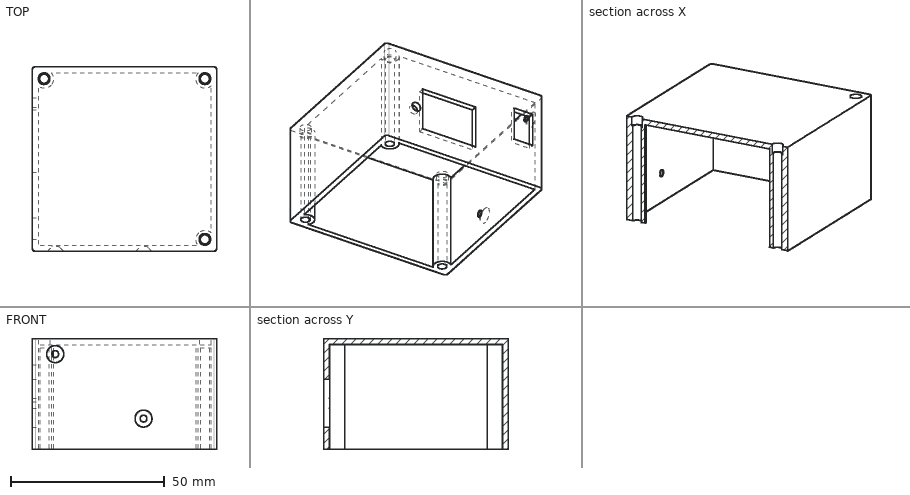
import cadquery as cq

side = 60.0
height = 36.0
wall = 2.0
corner_radius = 1.0

post_offset = 26.1
post_radius = 3.0
bore_diameter = 3.0
recess_diameter = 3.8
recess_depth = 3.0
post_corners = [(-1, 1), (1, 1), (1, -1)]

screw_diameter = 2.2
countersink_diameter = 5.5
countersink_angle = 90.0
screw_positions = [(-22.5, 30.95), (6.2, 10.0)]

window = (5.9, 15.0, 20.3, 15.5)
slot = (-22.5, 21.5, 6.95, 12.1)
indicator_diameter = 3.2
indicator_y = 18.35
indicator_z = 15.0


def make_shell():
    outer = cq.Workplane("XY").box(side, side, height, centered=(True, True, False))
    outer = outer.edges("|Z").fillet(corner_radius)
    inner_side = side - 2 * wall
    cavity = cq.Workplane("XY").box(
        inner_side, inner_side, height - wall, centered=(True, True, False)
    )
    return outer.cut(cavity)


def make_cylinders(points, radius, bottom, length):
    plane = cq.Workplane("XY").workplane(offset=bottom)
    return plane.pushPoints(points).circle(radius).extrude(length)


def add_posts(body):
    points = [(x * post_offset, y * post_offset) for x, y in post_corners]
    posts = make_cylinders(points, post_radius, 0, height)
    bores = make_cylinders(points, bore_diameter / 2, 0, height)
    recesses = make_cylinders(
        points, recess_diameter / 2, height - recess_depth, recess_depth
    )
    return body.union(posts).cut(bores).cut(recesses)


def cut_screw_holes(body):
    front = cq.Workplane("XZ", origin=(0, -side / 2, 0))
    return front.add(body).pushPoints(screw_positions).cskHole(
        screw_diameter, countersink_diameter, countersink_angle, depth=wall
    )


def cut_rectangle(body, opening):
    y, z, width, opening_height = opening
    cutter = cq.Workplane("XY").box(
        wall, width, opening_height, centered=(False, True, True)
    )
    return body.cut(cutter.translate((-side / 2, y, z)))


def cut_indicator_hole(body):
    plane = cq.Workplane("YZ", origin=(-side / 2, indicator_y, indicator_z))
    return body.cut(plane.circle(indicator_diameter / 2).extrude(wall))


result = add_posts(make_shell())
result = cut_screw_holes(result)
result = cut_rectangle(result, window)
result = cut_rectangle(result, slot)
result = cut_indicator_hole(result)